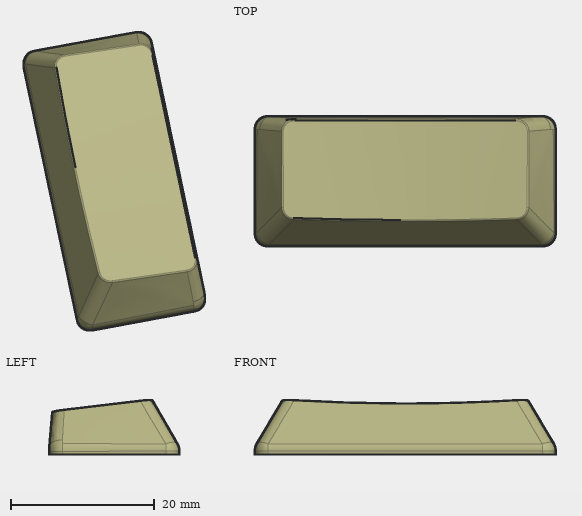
import cadquery as cq
import math

length = 41.95
width = 18.17
skirt_height = 1.05

front_lean = 30.0
back_lean = 5.0
top_length = 34.25

front_height = 7.75
top_tilt = 6.8
dish_depth = 0.65
dish_chord = 35.25

wall_edge_radius = 1.9
rim_radius = 0.25
outline_margin = 0.05

tilt_slope = math.tan(math.radians(top_tilt))
front_slope = math.tan(math.radians(front_lean))
back_slope = math.tan(math.radians(back_lean))

front_crest_y = -width / 2 + (front_height - skirt_height) * front_slope
crest_to_back = width / 2 - front_crest_y
top_run = crest_to_back - (front_height - skirt_height) * back_slope
back_drop = top_run * tilt_slope / (1 - tilt_slope * back_slope)
back_height = front_height - back_drop
back_crest_y = width / 2 - (back_height - skirt_height) * back_slope


def rectangle(size_x, front, back):
    """Rectangle of the given X size between a front and a back edge, each given as (y, z)."""
    half = size_x / 2
    corners = [(-half, *front), (half, *front), (half, *back), (-half, *back)]
    return cq.Wire.makePolygon([cq.Vector(*corner) for corner in corners], close=True)


def make_blank():
    """Skirt and leaning walls, rounded at the corners and along the shoulder between them."""
    half_width = width / 2
    sections = [
        rectangle(length, (-half_width, 0), (half_width, 0)),
        rectangle(length, (-half_width, skirt_height), (half_width, skirt_height)),
        rectangle(top_length, (front_crest_y, front_height), (back_crest_y, back_height)),
    ]
    walls = cq.Workplane(cq.Solid.makeLoft(sections, True))
    between_outlines = cq.selectors.BoxSelector(
        (-length, -width, outline_margin),
        (length, width, back_height - outline_margin),
    )
    return walls.edges(between_outlines).fillet(wall_edge_radius)


def make_dish():
    """Everything above the top: a large cylinder lying along the tilted fall of the top."""
    radius = (dish_chord ** 2 / 4 + dish_depth ** 2) / (2 * dish_depth)
    tilt = math.radians(top_tilt)
    fall_line = cq.Vector(0, math.cos(tilt), -math.sin(tilt))
    upward = cq.Vector(0, math.sin(tilt), math.cos(tilt))
    crest = cq.Vector(0, front_crest_y, front_height)
    start = crest + upward * (radius - dish_depth) - fall_line * length
    return cq.Workplane(cq.Solid.makeCylinder(radius, 2 * length, start, fall_line))


cap = make_blank().cut(make_dish())
result = cap.faces(">Z").edges().fillet(rim_radius)